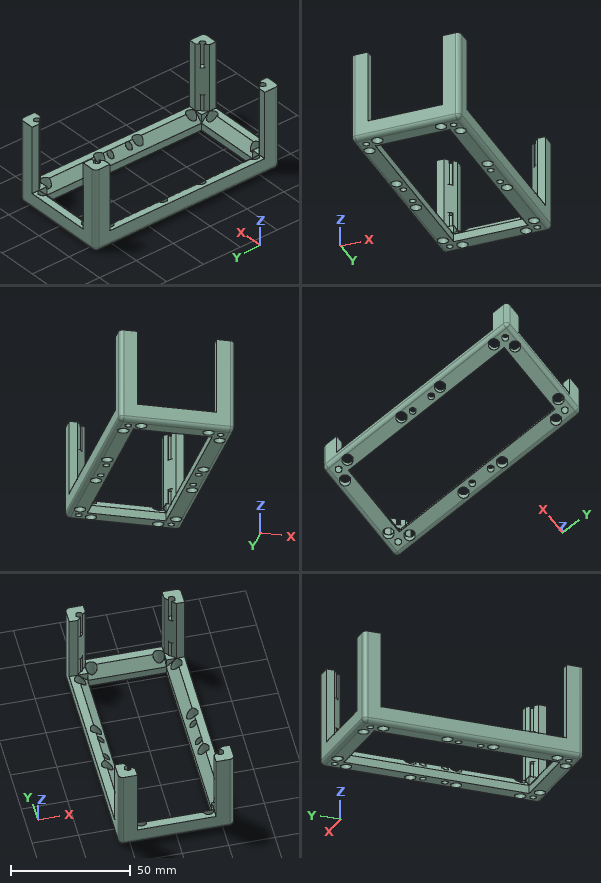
import cadquery as cq
import math

length_x = 49.8
length_y = 99.8
height = 41.8
post_width = 8.0
rail_height = post_width
outer_radius = 2.0
wall = 3.7
bevel = post_width - wall

screw_diameter = 2.8
screw_inset = 5.0
top_screw_depth = 12.0
bottom_screw_depth = 16.0
drill_point_angle = 118.0
small_hole_half_spacing = 5.0

large_diameter = 4.7
large_inset = 4.15
large_spacing = 29.0
large_end_offset = 10.5

half_x = length_x / 2
half_y = length_y / 2
signs = (-1, 1)


def four_ways(x, y):
    """The point mirrored into all four quadrants."""
    return [(sx * x, sy * y) for sx in signs for sy in signs]


def frame():
    """Rounded block hollowed to four rails and four corner posts."""
    opening_x = length_x - 2 * post_width
    opening_y = length_y - 2 * post_width
    block = (
        cq.Workplane("XY")
        .box(length_x, length_y, height, centered=(True, True, False))
        .edges("|Z or <Z")
        .fillet(outer_radius)
    )
    centre = cq.Workplane("XY").rect(opening_x, opening_y).extrude(height)
    above_rails = cq.Workplane("XY").workplane(offset=rail_height)
    window_x = above_rails.rect(opening_x, length_y).extrude(height)
    window_y = above_rails.rect(length_x, opening_y).extrude(height)
    return block.cut(centre).cut(window_x).cut(window_y)


def rail_bevel(plane, half_across, run):
    """Prism of length run that bevels the upper inner edges of the two rails along the plane normal."""
    inner = half_across - post_width
    return (
        cq.Workplane(plane)
        .polyline([
            (-inner - bevel, rail_height),
            (inner + bevel, rail_height),
            (inner, rail_height - bevel),
            (-inner, rail_height - bevel),
        ])
        .close()
        .extrude(run / 2, both=True)
    )


def post_bevels():
    """Prisms that bevel the inner edge of each post, above the rails."""
    prisms = cq.Workplane("XY")
    edge_x = half_x - post_width
    edge_y = half_y - post_width
    for sx, sy in four_ways(1, 1):
        prism = (
            cq.Workplane("XY")
            .workplane(offset=rail_height)
            .polyline([
                (sx * edge_x, sy * edge_y),
                (sx * (edge_x + bevel), sy * edge_y),
                (sx * edge_x, sy * (edge_y + bevel)),
            ])
            .close()
            .extrude(height - rail_height)
        )
        prisms = prisms.add(prism)
    return prisms.combine()


def top_screw_holes(points):
    """Blind drilled holes with conical ends, down from the post tops."""
    radius = screw_diameter / 2
    point_height = radius / math.tan(math.radians(drill_point_angle / 2))
    drill = (
        cq.Workplane("XZ")
        .polyline([
            (0, height),
            (radius, height),
            (radius, height - top_screw_depth),
            (0, height - top_screw_depth - point_height),
        ])
        .close()
        .revolve(360, (0, 0, 0), (0, 1, 0))
        .val()
    )
    return cq.Workplane("XY").pushPoints(points).eachpoint(lambda loc: drill.moved(loc), combine=True)


def holes_from_below(points, diameter, depth):
    """Straight holes rising from the underside."""
    return cq.Workplane("XY").pushPoints(points).circle(diameter / 2).extrude(depth)


def large_hole_points():
    """Two pairs on each long rail and one pair on each short rail."""
    first_y = half_y - large_end_offset
    side_x = half_x - large_inset
    return (
        four_ways(side_x, first_y)
        + four_ways(side_x, first_y - large_spacing)
        + four_ways(large_spacing / 2, half_y - large_inset)
    )


post_points = four_ways(half_x - screw_inset, half_y - screw_inset)
small_points = four_ways(half_x - screw_inset, small_hole_half_spacing)

result = (
    frame()
    .cut(rail_bevel("XZ", half_x, length_y - 2 * post_width))
    .cut(rail_bevel("YZ", half_y, length_x - 2 * post_width))
    .cut(post_bevels())
    .cut(top_screw_holes(post_points))
    .cut(holes_from_below(post_points, screw_diameter, bottom_screw_depth))
    .cut(holes_from_below(small_points, screw_diameter, rail_height))
    .cut(holes_from_below(large_hole_points(), large_diameter, rail_height))
)